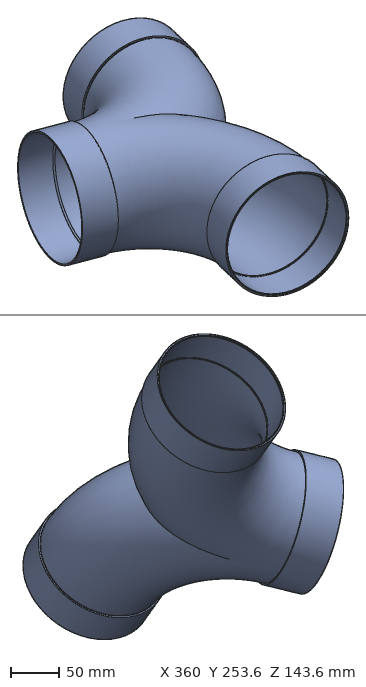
import cadquery as cq
wall = 1.8
tube_diameter = 140.0
bend_radius = 140.0
socket_reach = 40.0

tube_radius = tube_diameter / 2
tube_bore_radius = tube_radius - wall
socket_radius = tube_radius + wall
inlet_bore_radius = socket_radius - wall
outlet_bore_radius = tube_radius - wall / 2
socket_length = socket_reach + wall
outlet_face = bend_radius + socket_reach
inlet_face = bend_radius + socket_length
rim_recess_radius = tube_radius
rim_recess_depth = wall / 2
sides = (1, -1)


def elbow(radius, side):
    """Solid quarter bend from the inlet at -Y round to the outlet on one side."""
    axis_start = (side * bend_radius, 0, 0)
    axis_end = (side * bend_radius, -side, 0)
    section = cq.Workplane("XZ", origin=(0, -bend_radius, 0)).circle(radius)
    return section.revolve(90, axis_start, axis_end)


def outlet_plug(radius, length, side):
    """Solid cylinder reaching inward from the rim of one side socket."""
    rim = cq.Workplane("YZ", origin=(side * outlet_face, 0, 0))
    return rim.circle(radius).extrude(-side * length)


def inlet_body():
    """Outside of the inlet socket."""
    rim = cq.Workplane("XZ", origin=(0, -inlet_face, 0))
    return rim.circle(socket_radius).extrude(-socket_length)


def inlet_cavity():
    """Inlet bore, ending in a rounded shoulder that keeps the wall thickness around the outer corner."""
    shoulder_start = -bend_radius - wall
    arc_offset = wall * 0.5 ** 0.5
    shoulder_middle = (tube_radius - arc_offset, -bend_radius - arc_offset)
    return (
        cq.Workplane("XY")
        .moveTo(0, -inlet_face)
        .lineTo(inlet_bore_radius, -inlet_face)
        .lineTo(inlet_bore_radius, shoulder_start)
        .threePointArc(shoulder_middle, (tube_bore_radius, -bend_radius))
        .lineTo(0, -bend_radius)
        .close()
        .revolve(360, (0, 0, 0), (0, 1, 0))
    )


def outer_body():
    """Inlet socket, both elbows merged, and the two side sockets, all solid."""
    body = inlet_body()
    for side in sides:
        body = body.union(elbow(tube_radius, side))
        body = body.union(outlet_plug(socket_radius, socket_length, side))
    return body


def inner_cavity():
    """Flow passage through all three ends."""
    cavity = inlet_cavity()
    for side in sides:
        cavity = cavity.union(elbow(tube_bore_radius, side))
        cavity = cavity.union(outlet_plug(outlet_bore_radius, socket_length, side))
        cavity = cavity.union(outlet_plug(rim_recess_radius, rim_recess_depth, side))
    return cavity


result = outer_body().cut(inner_cavity())